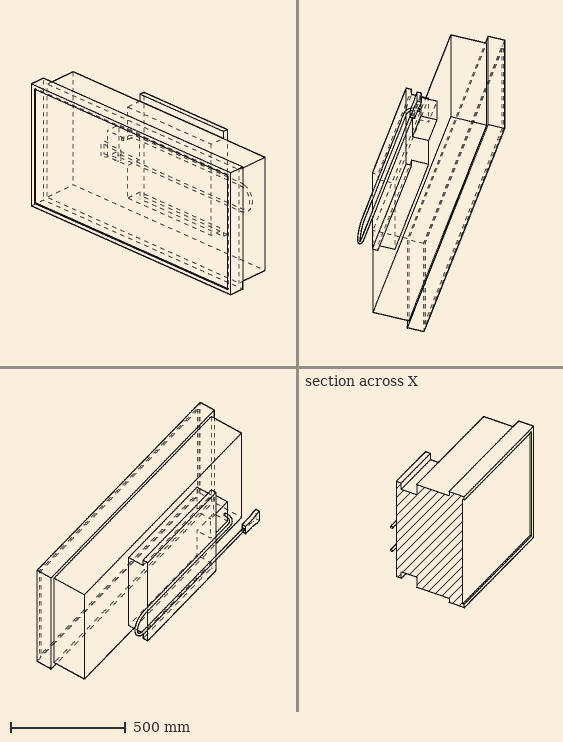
import cadquery as cq

FRAME_LENGTH = 1207.0
FRAME_DEPTH = 76.0
FRAME_HEIGHT = 600.0
FRAME_BORDER = 19.0
PANEL_RECESS = 7.0

TOTAL_LENGTH = 1210
TAB_THICKNESS = 2.0
TAB_HEIGHT = 11.0

BOX_LENGTH = 1162.0
BOX_HEIGHT = 556.0
BOX_BACK = 240.0

BRACKET_LENGTH = 506.0
BRACKET_HEIGHT = 448.0
PLATE_HEIGHT = 515.0
PLATE_FRONT = 317.0
PLATE_BACK = 342.0

JUNCTION_LENGTH = 123.0
JUNCTION_HEIGHT = 127.0
JUNCTION_BACK = 313.0

CABLE_DIAMETER = 12.0
CABLE_Y = 367.0
CABLE_EXIT_INSET = 20.0
CABLE_BEND_RADIUS = 40.0
CABLE_TURN_RADIUS = 63.0
CABLE_TURN_X = 308.0

PLUG_TIP_X = -527.0
PLUG_HEAD_LENGTH = 19.0
PLUG_TAPER_LENGTH = 27.0
PLUG_LENGTH = 103.0
PLUG_HEIGHT = 63.0
PLUG_GRIP_HEIGHT = 48.0
PLUG_THICKNESS = 19.0

FRAME_LEFT = -TOTAL_LENGTH / 2
FRAME_CENTER_X = FRAME_LEFT + FRAME_LENGTH / 2
BRACKET_LEFT = -BRACKET_LENGTH / 2
JUNCTION_LEFT = BRACKET_LEFT - JUNCTION_LENGTH
PLUG_CENTER_Z = -2 * CABLE_TURN_RADIUS


def block(x_center, length, y_front, y_back, height):
    """Box centred on Z = 0 that spans y_front to y_back."""
    depth = y_back - y_front
    return cq.Workplane("XY").box(length, depth, height).translate((x_center, y_front + depth / 2, 0))


def frame():
    body = block(FRAME_CENTER_X, FRAME_LENGTH, 0, FRAME_DEPTH, FRAME_HEIGHT)
    recess = block(
        FRAME_CENTER_X, FRAME_LENGTH - 2 * FRAME_BORDER, 0, PANEL_RECESS, FRAME_HEIGHT - 2 * FRAME_BORDER
    )
    tab_corner = cq.Vector(FRAME_LEFT + FRAME_LENGTH, FRAME_DEPTH - TAB_THICKNESS, -FRAME_HEIGHT / 2)
    tab = cq.Workplane("XY", origin=tab_corner).box(
        TOTAL_LENGTH - FRAME_LENGTH, TAB_THICKNESS, TAB_HEIGHT, centered=False
    )
    return body.cut(recess).union(tab)


def bracket():
    body = block(0, BRACKET_LENGTH, BOX_BACK, PLATE_FRONT, BRACKET_HEIGHT)
    plate = block(0, BRACKET_LENGTH, PLATE_FRONT, PLATE_BACK, PLATE_HEIGHT)
    return body.union(plate)


def cable():
    exit_x = JUNCTION_LEFT + CABLE_EXIT_INSET
    start = cq.Vector(exit_x, JUNCTION_BACK, 0)
    bend_start = cq.Vector(exit_x, CABLE_Y - CABLE_BEND_RADIUS, 0)
    bend_end = cq.Vector(exit_x + CABLE_BEND_RADIUS, CABLE_Y, 0)
    turn_start = cq.Vector(CABLE_TURN_X, CABLE_Y, 0)
    turn_middle = cq.Vector(CABLE_TURN_X + CABLE_TURN_RADIUS, CABLE_Y, -CABLE_TURN_RADIUS)
    turn_end = cq.Vector(CABLE_TURN_X, CABLE_Y, PLUG_CENTER_Z)
    plug_end = cq.Vector(PLUG_TIP_X + PLUG_LENGTH, CABLE_Y, PLUG_CENTER_Z)
    path = cq.Wire.assembleEdges([
        cq.Edge.makeLine(start, bend_start),
        cq.Edge.makeTangentArc(bend_start, cq.Vector(0, 1, 0), bend_end),
        cq.Edge.makeLine(bend_end, turn_start),
        cq.Edge.makeThreePointArc(turn_start, turn_middle, turn_end),
        cq.Edge.makeLine(turn_end, plug_end),
    ])
    section = cq.Workplane(cq.Plane(start, xDir=(1, 0, 0), normal=(0, 1, 0))).circle(CABLE_DIAMETER / 2)
    return section.sweep(cq.Workplane(path))


def plug():
    head_end = PLUG_HEAD_LENGTH
    grip_start = PLUG_HEAD_LENGTH + PLUG_TAPER_LENGTH
    upper_half = (
        cq.Workplane("XZ", origin=(PLUG_TIP_X, CABLE_Y, PLUG_CENTER_Z))
        .lineTo(0, PLUG_HEIGHT / 2)
        .lineTo(head_end, PLUG_HEIGHT / 2)
        .lineTo(grip_start, PLUG_GRIP_HEIGHT / 2)
        .lineTo(PLUG_LENGTH, PLUG_GRIP_HEIGHT / 2)
        .lineTo(PLUG_LENGTH, 0)
    )
    return upper_half.mirrorX().extrude(PLUG_THICKNESS / 2, both=True)


housing = block(FRAME_CENTER_X, BOX_LENGTH, FRAME_DEPTH, BOX_BACK, BOX_HEIGHT)
junction_center_x = JUNCTION_LEFT + JUNCTION_LENGTH / 2
junction_box = block(junction_center_x, JUNCTION_LENGTH, BOX_BACK, JUNCTION_BACK, JUNCTION_HEIGHT)

result = frame().union(housing).union(bracket()).union(junction_box).union(cable()).union(plug())